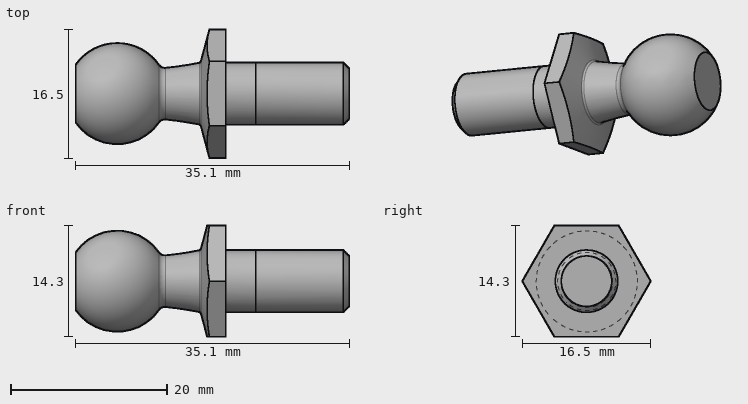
import cadquery as cq
import math


overall_length = 35.05

ball_radius = 6.5
ball_flat_diameter = 7.45
ball_flat_x = -math.sqrt(ball_radius**2 - (ball_flat_diameter / 2) ** 2)

hex_across_flats = 14.275
hex_across_corners = hex_across_flats / math.cos(math.radians(30))
flange_corner_thickness = 2.13
flange_cone_angle = 15.0

shank_diameter = 8.0
shank_radius = shank_diameter / 2
thread_minor_diameter = 6.466
thread_length = 12.0
thread_chamfer = (shank_diameter - thread_minor_diameter) / 2
shank_length = 15.8

end_x = ball_flat_x + overall_length
thread_start_x = end_x - thread_length
flange_back_x = end_x - shank_length
flange_corner_x = flange_back_x - flange_corner_thickness

neck_front_radius = 3.27
neck_back_radius = shank_radius
neck_flare_radius = 45.0
neck_ball_fillet = 0.9
neck_flange_fillet = 0.3


def cone_x(radius):
    """Position of the flange's conical face at a given distance from the axis."""
    drop = math.tan(math.radians(flange_cone_angle))
    return flange_corner_x - (hex_across_corners / 2 - radius) * drop


neck_back_x = cone_x(neck_back_radius)
neck_front_x = math.sqrt(ball_radius**2 - neck_front_radius**2)


def revolve_about_axis(profile):
    """Turn a closed profile, drawn in the XY plane above the axis, about X."""
    return profile.close().revolve(360, (0, 0, 0), (1, 0, 0))


def make_hex_flange():
    """Hexagonal prism with corners on +Y and -Y, trimmed by the conical front face."""
    cone_front_x = cone_x(0)
    prism = (
        cq.Workplane("YZ", origin=(cone_front_x, 0, 0))
        .polygon(6, hex_across_corners)
        .extrude(flange_back_x - cone_front_x)
    )
    outer_radius = hex_across_corners
    cone = revolve_about_axis(
        cq.Workplane("XY")
        .moveTo(cone_front_x, 0)
        .lineTo(cone_x(outer_radius), outer_radius)
        .lineTo(flange_back_x + outer_radius, outer_radius)
        .lineTo(flange_back_x + outer_radius, 0)
    )
    return prism.intersect(cone)


def make_ball_and_neck():
    """Ball with a flat front, running into the flared neck."""
    ball_top = (0, ball_radius)
    return revolve_about_axis(
        cq.Workplane("XY")
        .moveTo(ball_flat_x, 0)
        .lineTo(ball_flat_x, ball_flat_diameter / 2)
        .threePointArc(ball_top, (neck_front_x, neck_front_radius))
        .radiusArc((neck_back_x, neck_back_radius), -neck_flare_radius)
        .lineTo(flange_back_x, neck_back_radius)
        .lineTo(flange_back_x, 0)
    )


def neck_end_edges(body, x):
    """Select the circular edge around one end of the neck."""
    reach = shank_diameter
    margin = 0.05
    return body.edges(
        cq.selectors.BoxSelector((x - margin, -reach, -reach), (x + margin, reach, reach), boundingbox=True)
    )


def make_stud():
    """Ball, neck, flange and plain shank in one piece."""
    body = make_ball_and_neck().union(make_hex_flange())
    shank = (
        cq.Workplane("YZ", origin=(flange_back_x, 0, 0))
        .circle(shank_radius)
        .extrude(thread_start_x - flange_back_x)
    )
    body = body.union(shank)
    body = neck_end_edges(body, neck_front_x).fillet(neck_ball_fillet)
    return neck_end_edges(body, neck_back_x).fillet(neck_flange_fillet)


def make_threaded_end():
    """Threaded end, at its major diameter, chamfered to the minor diameter at the tip."""
    return (
        cq.Workplane("YZ", origin=(thread_start_x, 0, 0))
        .circle(shank_radius)
        .extrude(thread_length)
        .faces(">X")
        .chamfer(thread_chamfer)
    )


stud = make_stud()
threaded_end = make_threaded_end()

result = cq.Compound.makeCompound([stud.solids().val(), threaded_end.solids().val()])